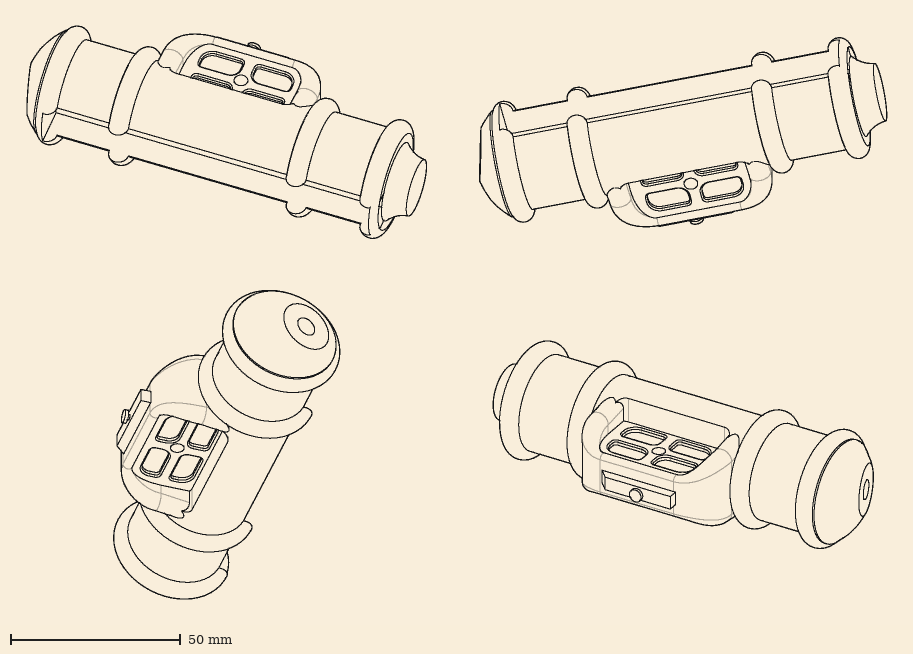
import cadquery as cq
import math

length = 122.0
overall_width = 51.2

body_radius = 14.9
ring_radius = 6.0 / 2
ring_outer_radius = 36.2 / 2
ring_path_radius = ring_outer_radius - ring_radius
ring_positions = [11.0, 33.4, 89.3, 112.5]
body_start = ring_positions[0]
body_end = ring_positions[-1] + ring_radius

dome_radius = 32.0 / 2
sphere_radius = 20.4
nose_flat_radius = 7.9
nose_flat_tilt = 14.9
nose_hole_diameter = 6.0
nose_hole_depth = 6.3
drill_point_angle = 118.0

nozzle_base_radius = 12.1
nozzle_tip_radius = 8.7
nozzle_waist_radius = 9.6
nozzle_waist_position = 118.6

channel_start = 10.7
channel_end = 113.6
channel_width = 12.8
channel_floor = -5.6

guard_center = 61.0
guard_corner_x = 12.6
guard_corner_y = 14.6
rim_outer_x = 24.4
rim_inner_x = 17.9
rim_outer_y = 28.3
rim_inner_y = 25.4
rim_top_height = 7.0
rim_side_height = 12.2
rim_base_height = 14.3
rim_sections = 7
web_height = 5.9
notch_wall = 5.5
notch_half_length = 19.5
notch_corner_radius = 3.0

web_hole_diameter = 4.0
web_hole_y = 15.6
window_center_x = 61.4
window_center_y = 14.9
window_gap_x = 3.2
window_gap_y = 2.6
window_length = 13.0
window_width = 7.1
window_depth = 1.5
window_chamfer = 0.5
window_outer_corner = 3.9
window_upper_inner_corner = 3.4
window_lower_inner_corner = 2.5
window_side_corner = 1.6

block_start = 47.7
block_end = 73.0
block_top_end = 70.0
block_top = 31.4
block_thickness = 4.3
pin_x = 58.7
pin_diameter = 1.6
pin_head_diameter = 4.0
pin_head_thickness = 1.0
pin_top = overall_width - ring_outer_radius


def cylinder_along_x(radius, start, end):
    return cq.Workplane("YZ", origin=(start, 0, 0)).circle(radius).extrude(end - start)


def cylinder_along_y(diameter, start, end):
    base = cq.Plane(origin=(pin_x, start, 0), xDir=(1, 0, 0), normal=(0, 1, 0))
    return cq.Workplane(base).circle(diameter / 2).extrude(end - start)


def make_ring(position):
    """Torus around the X axis; its seams lie on the -Y side, inside the channel."""
    plane = cq.Plane(origin=(position, -ring_path_radius, 0), xDir=(0, 1, 0), normal=(0, 0, 1))
    return (
        cq.Workplane(plane)
        .circle(ring_radius)
        .revolve(360, (ring_path_radius, 0, 0), (ring_path_radius, 1, 0))
    )


def make_nose():
    """Spherical dome whose tilted flat touches X = 0 at its edge, with a drilled hole square to the flat."""
    tilt = math.radians(nose_flat_tilt)
    flat_distance = math.sqrt(sphere_radius**2 - nose_flat_radius**2)
    sphere_center = flat_distance * math.cos(tilt) + nose_flat_radius * math.sin(tilt)
    dome = cq.Workplane("XY").sphere(sphere_radius).translate((sphere_center, 0, 0))
    nose = dome.intersect(cylinder_along_x(dome_radius, sphere_center - sphere_radius, body_start))

    outward = cq.Vector(-math.cos(tilt), -math.sin(tilt), 0)
    flat_center = cq.Vector(sphere_center, 0, 0) + outward * flat_distance
    flat = cq.Workplane(cq.Plane(origin=flat_center.toTuple(), xDir=(0, 0, 1), normal=outward.toTuple()))
    nose = nose.cut(flat.circle(dome_radius).extrude(sphere_radius))

    hole_radius = nose_hole_diameter / 2
    point_depth = hole_radius / math.tan(math.radians(drill_point_angle / 2))
    hole_end = flat_center - outward * nose_hole_depth
    point = cq.Solid.makeCone(hole_radius, 0, point_depth, hole_end, outward * -1)
    hole = flat.circle(hole_radius).extrude(-nose_hole_depth).union(cq.Workplane(point))
    return nose, hole


def make_nozzle():
    return (
        cq.Workplane("XY")
        .moveTo(body_end, 0)
        .lineTo(body_end, nozzle_base_radius)
        .threePointArc((nozzle_waist_position, nozzle_waist_radius), (length, nozzle_tip_radius))
        .lineTo(length, 0)
        .close()
        .revolve(360, (0, 0, 0), (1, 0, 0))
    )


def racetrack(outer, inner, height):
    """Upright rim section between two points, reaching height above and below Z = 0."""
    across = outer - inner
    plane = cq.Plane(
        origin=((outer + inner) * 0.5).toTuple(),
        xDir=(0, 0, 1),
        normal=across.cross(cq.Vector(0, 0, 1)).toTuple(),
    )
    return cq.Workplane(plane).slot2D(2 * height, across.Length)


def corner_section(angle):
    """Rim section on the right corner; angle 0 is at the side, 90 at the top."""
    side = math.cos(math.radians(angle))
    rise = math.sin(math.radians(angle))
    outer = cq.Vector(
        guard_corner_x + (rim_outer_x - guard_corner_x) * side,
        guard_corner_y + (rim_outer_y - guard_corner_y) * rise,
    )
    inner = cq.Vector(
        guard_corner_x + (rim_inner_x - guard_corner_x) * side,
        guard_corner_y + (rim_inner_y - guard_corner_y) * rise,
    )
    height = rim_top_height + (rim_side_height - rim_top_height) * side**2
    return racetrack(outer, inner, height)


def loft(sections):
    return cq.Workplane(cq.Solid.makeLoft([section.wire().val() for section in sections]))


def make_rim():
    """Rim centred on X = 0: right half mirrored to the left, its foot sunk in the round body."""
    angles = [90 * step / (rim_sections - 1) for step in range(rim_sections)]
    corner = loft([corner_section(angle) for angle in angles])
    foot = racetrack(cq.Vector(rim_outer_x, 0), cq.Vector(rim_inner_x, 0), rim_base_height)
    side = loft([foot, corner_section(0)])
    top = corner_section(90).extrude(-guard_corner_x)
    half = corner.union(side).union(top)
    return half.union(half.mirror("YZ"))


def make_web():
    """Plate that fills the rim, reaching to the middle of its width."""
    half_length = (rim_outer_x + rim_inner_x) / 2
    top = (rim_outer_y + rim_inner_y) / 2
    corner_x = half_length - guard_corner_x
    corner_y = top - guard_corner_y
    diagonal = math.sqrt(0.5)
    middle_x = guard_corner_x + corner_x * diagonal
    middle_y = guard_corner_y + corner_y * diagonal
    return (
        cq.Workplane("XY", origin=(0, 0, -web_height))
        .moveTo(-half_length, 0)
        .lineTo(-half_length, guard_corner_y)
        .threePointArc((-middle_x, middle_y), (-guard_corner_x, top))
        .lineTo(guard_corner_x, top)
        .threePointArc((middle_x, middle_y), (half_length, guard_corner_y))
        .lineTo(half_length, 0)
        .close()
        .extrude(2 * web_height)
    )


def make_notch():
    """Clearance above the web, cut into the round body."""
    return (
        cq.Workplane("XY", origin=(guard_center, notch_wall + body_radius / 2, web_height))
        .rect(2 * notch_half_length, body_radius)
        .extrude(body_radius)
        .edges("|Z and <Y")
        .fillet(notch_corner_radius)
    )


def window_outline(inset, inner_corner):
    """Upper right window outline about the window centre, moved in by inset."""
    left = window_gap_x / 2 + inset
    right = window_gap_x / 2 + window_length - inset
    bottom = window_gap_y / 2 + inset
    top = window_gap_y / 2 + window_width - inset
    inner = inner_corner - inset
    outer = window_outer_corner - inset
    side = window_side_corner - inset
    return (
        cq.Workplane("XY")
        .moveTo(left + inner, bottom)
        .lineTo(right - side, bottom)
        .radiusArc((right, bottom + side), -side)
        .lineTo(right, top - outer)
        .radiusArc((right - outer, top), -outer)
        .lineTo(left + side, top)
        .radiusArc((left, top - side), -side)
        .lineTo(left, bottom + inner)
        .radiusArc((left + inner, bottom), -inner)
        .close()
    )


def window_pair(inner_corner):
    """Two upper pockets with chamfered mouths, mirrored left to right."""
    mouth = window_outline(0, inner_corner).extrude(-window_chamfer, taper=45)
    window = window_outline(window_chamfer, inner_corner).extrude(-window_depth).union(mouth)
    return window.union(window.mirror("YZ"))


def make_windows():
    """Four pockets that open at the upper face of the web."""
    upper = window_pair(window_upper_inner_corner)
    lower = window_pair(window_lower_inner_corner).mirror("XZ")
    return upper.union(lower).translate((window_center_x, window_center_y, web_height))


def make_channel(end):
    depth = ring_outer_radius + channel_floor
    return (
        cq.Workplane("XY")
        .box(end - channel_start, depth, channel_width, centered=(False, False, True))
        .translate((channel_start, -ring_outer_radius, 0))
    )


def make_block():
    return (
        cq.Workplane("XY", origin=(0, 0, -block_thickness / 2))
        .polyline(
            [
                (block_start, rim_inner_y),
                (block_end, rim_inner_y),
                (block_end, rim_outer_y),
                (block_top_end, block_top),
                (block_start, block_top),
            ]
        )
        .close()
        .extrude(block_thickness)
    )


def make_pin():
    head_base = pin_top - pin_head_thickness
    stem = cylinder_along_y(pin_diameter, block_top, head_base)
    return stem.union(cylinder_along_y(pin_head_diameter, head_base, pin_top))


nose, nose_hole = make_nose()
round_bar = cylinder_along_x(body_radius, body_start, body_end)
body = round_bar.union(nose)
for position in ring_positions:
    body = body.union(make_ring(position))
body = body.cut(make_channel(channel_end)).cut(make_channel(body_end).intersect(round_bar))
body = body.union(make_nozzle()).cut(nose_hole)

notch = make_notch()
windows = make_windows()
guard = make_rim().union(make_web()).translate((guard_center, 0, 0))
body = body.cut(notch).cut(notch.mirror("XY")).union(guard)
body = body.cut(windows).cut(windows.mirror("XY"))
web_hole = (
    cq.Workplane("XY", origin=(guard_center, web_hole_y, -web_height))
    .circle(web_hole_diameter / 2)
    .extrude(2 * web_height)
)
body = body.cut(web_hole)

result = body.union(make_block()).union(make_pin()).clean()